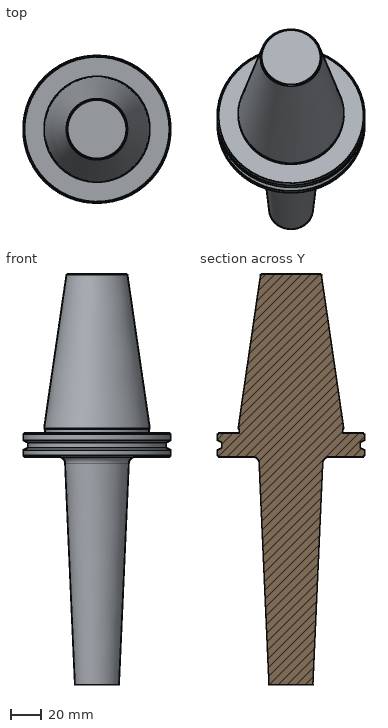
import cadquery as cq

total_height = 270.8

gauge_radius = 35.0
taper_length = 101.8
taper_slope = 7 / 48
taper_end_chamfer = 0.8
neck_radius = 34.5
neck_bevel = gauge_radius - neck_radius
neck_height = 3.0

flange_radius = 48.8
flange_thickness = 16.0
flange_chamfer = 1.0
groove_depth = 3.0
groove_floor_width = 3.3
groove_mouth_width = 6.5
groove_below_gauge = 11.0

shank_top_radius = 21.0
shank_tip_radius = 14.5
shank_fillet = 4.0

gauge_z = total_height - taper_length
flange_top = gauge_z - neck_height
flange_bottom = flange_top - flange_thickness
groove_z = gauge_z - groove_below_gauge
taper_end_radius = gauge_radius - taper_slope * taper_length


def revolve_profile(profile):
    """Turn a closed (radius, height) profile around the Z axis."""
    return profile.close().revolve(360, (0, 0, 0), (0, 1, 0))


def make_taper():
    chamfer_base_radius = taper_end_radius + taper_slope * taper_end_chamfer
    return revolve_profile(
        cq.Workplane("XZ")
        .moveTo(0, flange_top)
        .lineTo(neck_radius, flange_top)
        .lineTo(neck_radius, gauge_z - neck_bevel)
        .lineTo(gauge_radius, gauge_z)
        .lineTo(chamfer_base_radius, total_height - taper_end_chamfer)
        .lineTo(taper_end_radius - taper_end_chamfer, total_height)
        .lineTo(0, total_height)
    )


def make_flange():
    disc = (
        cq.Workplane("XY", origin=(0, 0, flange_bottom))
        .circle(flange_radius)
        .extrude(flange_thickness)
        .edges()
        .chamfer(flange_chamfer)
    )
    floor_radius = flange_radius - groove_depth
    groove = revolve_profile(
        cq.Workplane("XZ")
        .moveTo(flange_radius, groove_z - groove_mouth_width / 2)
        .lineTo(floor_radius, groove_z - groove_floor_width / 2)
        .lineTo(floor_radius, groove_z + groove_floor_width / 2)
        .lineTo(flange_radius, groove_z + groove_mouth_width / 2)
    )
    return disc.cut(groove)


def make_shank():
    fillet_z = flange_bottom - shank_fillet
    return revolve_profile(
        cq.Workplane("XZ")
        .lineTo(shank_tip_radius, 0)
        .lineTo(shank_top_radius, fillet_z)
        .radiusArc((shank_top_radius + shank_fillet, flange_bottom), shank_fillet)
        .lineTo(0, flange_bottom)
    )


result = make_flange().union(make_taper()).union(make_shank())